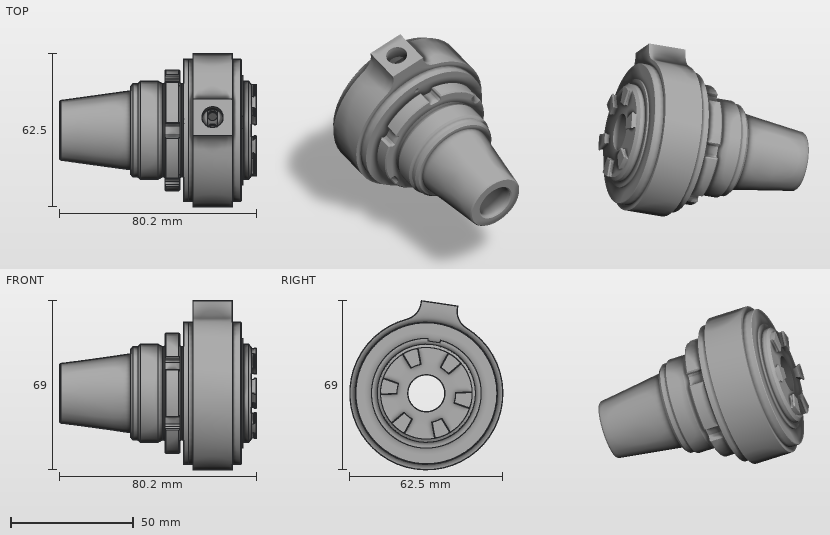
import cadquery as cq
import math


BORE_D = 15.0
BORE_CHAMFER = 0.5
NOSE_CHAMFER = 0.6
NOSE_FACE_R = 23.5 / 2
CONE_SMALL_R = 12.2
CONE_BIG_R = 32.1 / 2
CONE_END = 28.3

STEP_START = 28.95
STEP_R = 38.0 / 2
STEP_CHAMFER = 1.05
COLLAR_START = 31.9
COLLAR_R = 40.0 / 2
COLLAR_END = 40.1
RELIEF_WIDTH = 0.25
RELIEF_SIDE = 0.65
JOURNAL_R = 19.3

NUT_START = 42.9
NUT_END = 49.1
NUT_R = 24.7
NUT_CHAMFER = 0.5
NOTCH_COUNT = 6
NOTCH_FLOOR_R = 21.9
NOTCH_FLOOR_HALF = 2.6
NOTCH_MOUTH_R = 24.0
NOTCH_MOUTH_HALF = 2.7
NOTCH_MOUTH_BREAK = 0.5
NOTCH_CHAMFER = 0.7

DRUM_R = 58.0 / 2
FRONT_COVER_START = 50.6
DRUM_START = 52.6
DRUM_END = 70.75
REAR_COVER_END = 74.1
REAR_COVER_CHAMFER = 0.25
DIMPLE_R = 2.0 / 2
DIMPLE_PITCH_R = 25.3
PORT_D = 4.0
PORT_DEPTH = 4.8
PORT_FIRST_OFFSET = 1.8
PORT_SPACING = 5.4
PORT_COUNT = 2

RING_R = 62.5 / 2
RING_START = 54.4
RING_END = 70.4
LUG_LEAN = 8.4
LUG_TOP = 37.05
LUG_HALF_WIDTH = 7.5
LUG_FILLET = 7.9
SOCKET_D = 8.6
SOCKET_FLOOR = 30.7
SLOT_WIDTH = 4.0
SLOT_OVERCUT = 0.8

WASHER_R = 22.4
WASHER_END = 74.8
WASHER_NOTCH_WIDTH = 5.05
WASHER_NOTCH_DEPTH = 1.2

TAIL_START = 75.2
TAIL_GROOVE_R = 19.65
TAIL_CHAMFER_START = 77.1
TAIL_END = 78.2
TAIL_FACE_R = 18.7
TOTAL_LENGTH = 80.2
TOOTH_COUNT = 6
TOOTH_INNER_R = 24.0 / 2
TOOTH_OUTER_R = 18.7
TOOTH_FIRST_ANGLE = 9.0
TOOTH_HALF_ANGLE = 10.6
TOOTH_NECK_HALF_ANGLE = 8.8
TOOTH_NECK_END = 79.1
TOOTH_HEAD_START = 79.6
TOOTH_TIP_CHAMFER = 0.25
TOOTH_OVERSHOOT = 1.6


def turned(profile):
    """Solid of revolution about X from (x, radius) points."""
    return cq.Workplane("XY").polyline(profile).close().revolve(360, (0, 0, 0), (1, 0, 0))


def disc(start, end, radius):
    """Solid cylinder along X."""
    return cq.Workplane("YZ", origin=(start, 0, 0)).circle(radius).extrude(end - start)


def tube(start, end, outer_radius, inner_radius):
    """Hollow cylinder along X."""
    return disc(start, end, outer_radius).cut(disc(start, end, inner_radius))


def lean(body):
    """Turn a body built about +Z onto the lug direction."""
    return body.rotate((0, 0, 0), (1, 0, 0), -LUG_LEAN)


def relief(center):
    """Profile points of a shallow relief groove cut into the journal."""
    half = RELIEF_WIDTH / 2
    return [
        (center - half - RELIEF_SIDE, JOURNAL_R),
        (center - half, STEP_R),
        (center + half, STEP_R),
        (center + half + RELIEF_SIDE, JOURNAL_R),
    ]


def make_tooth():
    """One driving tooth pointing to -Y: a necked sector with radial flanks."""

    def section(y):
        neck = y * math.tan(math.radians(TOOTH_NECK_HALF_ANGLE))
        head = y * math.tan(math.radians(TOOTH_HALF_ANGLE))
        half = [
            (TAIL_END, neck),
            (TOOTH_NECK_END, neck),
            (TOOTH_HEAD_START, head),
            (TOTAL_LENGTH - TOOTH_TIP_CHAMFER, head),
            (TOTAL_LENGTH, head - TOOTH_TIP_CHAMFER),
        ]
        points = half + [(x, -z) for x, z in reversed(half)]
        return cq.Wire.makePolygon([cq.Vector(x, -y, z) for x, z in points], close=True)

    inner_y = TOOTH_INNER_R - TOOTH_OVERSHOOT
    outer_y = TOOTH_OUTER_R + TOOTH_OVERSHOOT
    wedge = cq.Workplane(cq.Solid.makeLoft([section(inner_y), section(outer_y)], True))
    return wedge.intersect(tube(TAIL_END, TOTAL_LENGTH, TOOTH_OUTER_R, TOOTH_INNER_R))


def make_spindle():
    bore_r = BORE_D / 2
    body = turned(
        [
            (0, bore_r + BORE_CHAMFER),
            (0, NOSE_FACE_R),
            (NOSE_CHAMFER, CONE_SMALL_R),
            (CONE_END, CONE_BIG_R),
            (STEP_START, CONE_BIG_R),
            (STEP_START, STEP_R - STEP_CHAMFER),
            (STEP_START + STEP_CHAMFER, STEP_R),
            (COLLAR_START, STEP_R),
            (COLLAR_START + COLLAR_R - STEP_R, COLLAR_R),
            (COLLAR_END, COLLAR_R),
        ]
        + relief(NUT_START - RELIEF_SIDE - RELIEF_WIDTH / 2)
        + relief((NUT_END + FRONT_COVER_START) / 2)
        + [
            (WASHER_END, JOURNAL_R),
            (WASHER_END, TAIL_GROOVE_R),
            (TAIL_START, TAIL_GROOVE_R),
            (TAIL_START, COLLAR_R),
            (TAIL_CHAMFER_START, COLLAR_R),
            (TAIL_END, TAIL_FACE_R),
            (TAIL_END, bore_r),
            (BORE_CHAMFER, bore_r),
        ]
    )
    tooth = make_tooth()
    for i in range(TOOTH_COUNT):
        angle = -TOOTH_FIRST_ANGLE + i * 360 / TOOTH_COUNT
        body = body.union(tooth.rotate((0, 0, 0), (1, 0, 0), angle))
    return body


def make_lock_nut():
    nut = disc(NUT_START, NUT_END, NUT_R).edges().chamfer(NUT_CHAMFER)
    nut = nut.cut(disc(NUT_START, NUT_END, JOURNAL_R))
    mouth_top = NUT_R + NOTCH_MOUTH_BREAK
    mouth_half = NOTCH_MOUTH_HALF + mouth_top - NOTCH_MOUTH_R
    notch = (
        cq.Workplane("YZ", origin=(NUT_START, 0, 0))
        .polyline(
            [
                (-NOTCH_FLOOR_HALF, NOTCH_FLOOR_R),
                (-NOTCH_MOUTH_HALF, NOTCH_MOUTH_R),
                (-mouth_half, mouth_top),
                (mouth_half, mouth_top),
                (NOTCH_MOUTH_HALF, NOTCH_MOUTH_R),
                (NOTCH_FLOOR_HALF, NOTCH_FLOOR_R),
            ]
        )
        .close()
        .extrude(NUT_END - NUT_START)
    )
    notch = notch.faces("<Z").edges("|X").chamfer(NOTCH_CHAMFER)
    for i in range(NOTCH_COUNT):
        nut = nut.cut(notch.rotate((0, 0, 0), (1, 0, 0), i * 360 / NOTCH_COUNT))
    return nut


def make_front_cover():
    cover = tube(FRONT_COVER_START, DRUM_START, DRUM_R, JOURNAL_R)
    dimple = cq.Solid.makeCone(
        DIMPLE_R, 0, DIMPLE_R, cq.Vector(FRONT_COVER_START, 0, DIMPLE_PITCH_R), cq.Vector(1, 0, 0)
    )
    return cover.cut(lean(cq.Workplane(dimple)))


def make_drum():
    drum = tube(DRUM_START, DRUM_END, DRUM_R, JOURNAL_R)
    middle_x = (RING_START + RING_END) / 2
    for i in range(PORT_COUNT):
        offset = PORT_FIRST_OFFSET - i * PORT_SPACING
        port = (
            cq.Workplane("XY", origin=(middle_x, offset, DRUM_R - PORT_DEPTH))
            .circle(PORT_D / 2)
            .extrude(PORT_DEPTH)
        )
        drum = drum.cut(lean(port))
    return drum


def make_rear_cover():
    cover = disc(DRUM_END, REAR_COVER_END, DRUM_R).faces(">X").edges().chamfer(REAR_COVER_CHAMFER)
    return cover.cut(disc(DRUM_END, REAR_COVER_END, JOURNAL_R))


def make_clamp_ring():
    fillet_y = LUG_HALF_WIDTH + LUG_FILLET
    fillet_z = math.sqrt((RING_R + LUG_FILLET) ** 2 - fillet_y**2)
    shrink = RING_R / (RING_R + LUG_FILLET)
    foot = (fillet_y * shrink, fillet_z * shrink)
    middle_angle = math.pi + math.atan2(fillet_z, fillet_y) / 2
    middle = (
        fillet_y + LUG_FILLET * math.cos(middle_angle),
        fillet_z + LUG_FILLET * math.sin(middle_angle),
    )
    ring = (
        cq.Workplane("YZ", origin=(RING_START, 0, 0))
        .moveTo(-LUG_HALF_WIDTH, LUG_TOP)
        .lineTo(LUG_HALF_WIDTH, LUG_TOP)
        .lineTo(LUG_HALF_WIDTH, fillet_z)
        .threePointArc(middle, foot)
        .threePointArc((0, -RING_R), (-foot[0], foot[1]))
        .threePointArc((-middle[0], middle[1]), (-LUG_HALF_WIDTH, fillet_z))
        .close()
        .extrude(RING_END - RING_START)
    )
    ring = ring.cut(disc(RING_START, RING_END, DRUM_R))

    middle_x = (RING_START + RING_END) / 2
    socket = (
        cq.Workplane("XY", origin=(middle_x, 0, SOCKET_FLOOR))
        .circle(SOCKET_D / 2)
        .extrude(LUG_TOP - SOCKET_FLOOR)
    )
    slot_bottom = DRUM_R - SLOT_OVERCUT
    slot_height = SOCKET_FLOOR - slot_bottom
    slot_bore = (
        cq.Workplane("XY", origin=(middle_x, 0, slot_bottom))
        .circle(SOCKET_D / 2)
        .extrude(slot_height)
    )
    slot = (
        cq.Workplane("XY", origin=(middle_x, 0, slot_bottom))
        .rect(SLOT_WIDTH, SOCKET_D)
        .extrude(slot_height)
        .intersect(slot_bore)
    )
    return lean(ring.cut(socket).cut(slot))


def make_washer():
    washer = tube(REAR_COVER_END, WASHER_END, WASHER_R, JOURNAL_R)
    width = WASHER_END - REAR_COVER_END
    notch = cq.Workplane("XY").box(width, WASHER_NOTCH_WIDTH, 2 * WASHER_NOTCH_DEPTH)
    notch = notch.translate((REAR_COVER_END + width / 2, 0, WASHER_R))
    return washer.cut(lean(notch))


spindle = make_spindle()
lock_nut = make_lock_nut()
front_cover = make_front_cover()
drum = make_drum()
rear_cover = make_rear_cover()
clamp_ring = make_clamp_ring()
washer = make_washer()

result = cq.Compound.makeCompound(
    [
        spindle.val(),
        lock_nut.val(),
        front_cover.val(),
        drum.val(),
        rear_cover.val(),
        clamp_ring.val(),
        washer.val(),
    ]
)